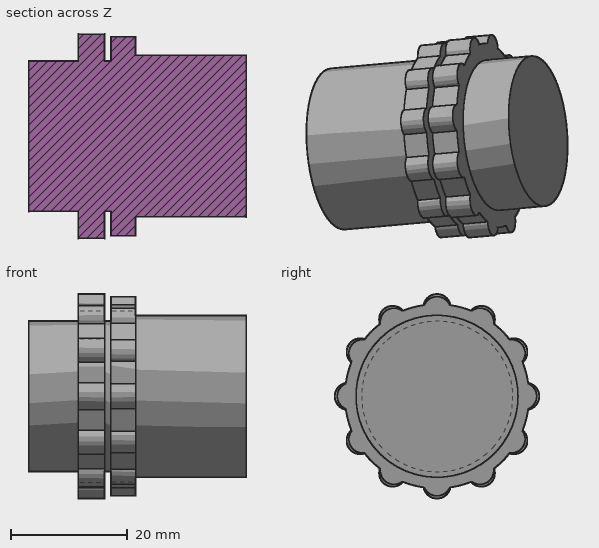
import cadquery as cq
import math

TOTAL_LENGTH = 37.2
FRONT_DIAMETER = 25.8
REAR_DIAMETER = 27.7

FRONT_RING_START = 8.45
FRONT_RING_END = 13.0
REAR_RING_START = 14.05
REAR_RING_END = 18.25

LOBE_COUNT = 12
LOBE_RADIUS = 2.35
FRONT_RING_TIP_RADIUS = 35.0 / 2
FRONT_RING_BASE_RADIUS = 15.77
REAR_RING_TIP_RADIUS = 17.05
REAR_RING_BASE_RADIUS = 15.77


def cylinder_along_x(start, end, radius, y=0.0, z=0.0):
    """Solid cylinder parallel to X, centred at (y, z)."""
    return cq.Workplane("YZ", origin=(start, y, z)).circle(radius).extrude(end - start)


def lobed_ring(start, end, base_radius, tip_radius):
    """Disc with evenly spaced round lobes on its rim."""
    ring = cylinder_along_x(start, end, base_radius)
    lobe_centre_radius = tip_radius - LOBE_RADIUS
    for index in range(LOBE_COUNT):
        angle = 2 * math.pi * index / LOBE_COUNT
        y = lobe_centre_radius * math.cos(angle)
        z = lobe_centre_radius * math.sin(angle)
        ring = ring.union(cylinder_along_x(start, end, LOBE_RADIUS, y, z))
    return ring


front_body = cylinder_along_x(0, REAR_RING_END, FRONT_DIAMETER / 2)
rear_body = cylinder_along_x(REAR_RING_END, TOTAL_LENGTH, REAR_DIAMETER / 2)
front_ring = lobed_ring(
    FRONT_RING_START, FRONT_RING_END, FRONT_RING_BASE_RADIUS, FRONT_RING_TIP_RADIUS
)
rear_ring = lobed_ring(
    REAR_RING_START, REAR_RING_END, REAR_RING_BASE_RADIUS, REAR_RING_TIP_RADIUS
)

result = front_body.union(front_ring).union(rear_ring).union(rear_body)